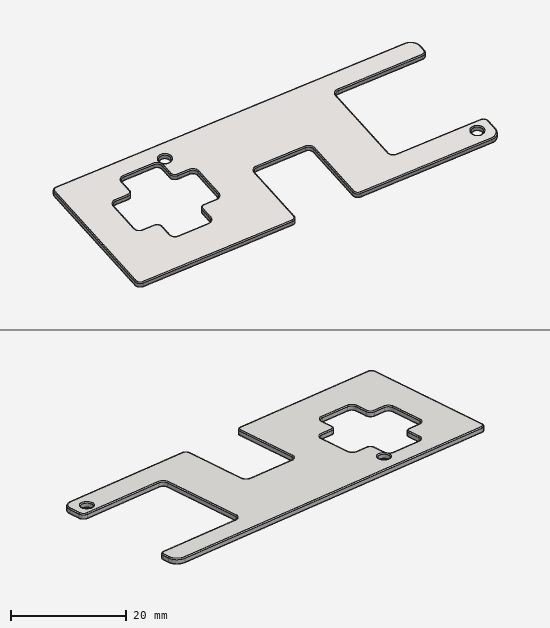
import cadquery as cq

width = 29.0
length = 74.0
thickness = 1.0
edge_chamfer = 0.2
chamfer_angle = 45

left_prong_width = 4.4
right_prong_width = 5.4
prong_length = 19.2

notch_left = 13.9
notch_bottom = 32.4
notch_top = 44.3

cross_center = (12.9, 15.55)
cross_span_x = 17.9
cross_span_y = 17.0
cross_arm_x = 8.15
cross_arm_y = 8.7

hole_diameter = 2.2
prong_hole = (25.9, length - 3.0)
window_hole = (3.8, 20.9)

corner_radius = 1.0
prong_outer_radius = 2.0


def box_between(x_min, x_max, y_min, y_max):
    """Block through the full thickness between two X and two Y limits."""
    size_x = x_max - x_min
    size_y = y_max - y_min
    block = cq.Workplane("XY").box(size_x, size_y, thickness, centered=False)
    return block.translate((x_min, y_min, 0))


def vertical_edges(body, y_min, y_max, x_min=0, x_max=width):
    """Upright edges of a body inside a rectangle of the XY plane."""
    margin = 0.1
    selector = cq.selectors.BoxSelector(
        (x_min - margin, y_min - margin, -margin),
        (x_max + margin, y_max + margin, thickness + margin),
    )
    return body.edges("|Z").edges(selector)


def make_outline():
    """Plate with two prongs and a side notch, all corners rounded."""
    slot_left = left_prong_width
    slot_right = width - right_prong_width
    slot_floor = length - prong_length
    body = box_between(0, width, 0, length)
    body = body.cut(box_between(slot_left, slot_right, slot_floor, length))
    body = body.cut(box_between(notch_left, width, notch_bottom, notch_top))
    body = vertical_edges(body, 0, slot_floor).fillet(corner_radius)
    body = vertical_edges(body, length, length, slot_left, slot_right).fillet(corner_radius)
    return vertical_edges(body, length, length).edges("<X or >X").fillet(prong_outer_radius)


def make_cross():
    """Cross-shaped opening with rounded inner and outer corners."""
    arm_x = cq.Workplane("XY").rect(cross_span_x, cross_arm_x).extrude(thickness)
    arm_y = cq.Workplane("XY").rect(cross_arm_y, cross_span_y).extrude(thickness)
    cross = arm_x.union(arm_y).edges("|Z").fillet(corner_radius)
    return cross.translate((*cross_center, 0))


def make_hole(center):
    """Round opening through the full thickness."""
    return cq.Workplane("XY").center(*center).circle(hole_diameter / 2).extrude(thickness)


def cut_chamfered(body, opening):
    """Cut an opening and bevel its upper rim, leaving the rims of other openings alone."""
    bevel_start = thickness - edge_chamfer
    rim = opening.faces("<Z").wires().val().translate(cq.Vector(0, 0, bevel_start))
    plane = cq.Workplane("XY", origin=(0, 0, bevel_start))
    bevel = plane.add(rim).toPending().extrude(edge_chamfer, taper=-chamfer_angle)
    return body.cut(opening).cut(bevel)


result = make_outline().faces(">Z").chamfer(edge_chamfer)
for opening in (make_cross(), make_hole(prong_hole), make_hole(window_hole)):
    result = cut_chamfered(result, opening)